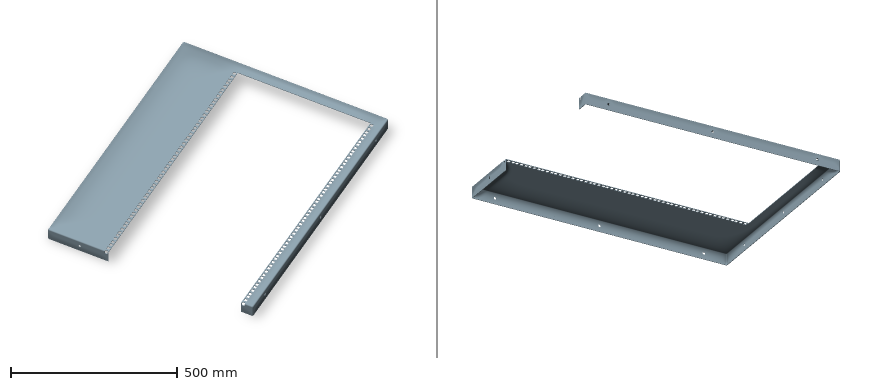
import cadquery as cq

WIDTH = 695.0
DEPTH = 880.0
HEIGHT = 40.0
SHEET = 2.0

TOP_BEND_RADIUS = 3.5
REAR_CORNER_RADIUS = 5.5
FRONT_CORNER_GAP = 2.2

OPENING_WIDTH = 450.0
RIGHT_ARM_WIDTH = 40.0
REAR_BAND_DEPTH = 40.0

WIDE_HOLE_PITCH = 15.875
NARROW_HOLE_PITCH = 12.7
RACK_UNIT = 2 * WIDE_HOLE_PITCH + NARROW_HOLE_PITCH
HOLES_PER_UNIT = 3
RAIL_HOLE_COUNT = 57
RAIL_HOLE_SIZE = 9.5
RAIL_ROW_SPACING = 465.1
FIRST_HOLE_OFFSET = WIDE_HOLE_PITCH / 2
FRONT_NOTCH_DEPTH = 10.0

FIXING_HOLE_DIAMETER = 9.0
FIXING_HOLE_SPACING_X = 240.0
FIXING_HOLE_SPACING_Y = 360.0

LEFT = -WIDTH / 2
RIGHT = WIDTH / 2
FRONT = -DEPTH / 2
REAR = DEPTH / 2
TOP = HEIGHT / 2
BOTTOM = -HEIGHT / 2
OPENING_RIGHT = RIGHT - RIGHT_ARM_WIDTH
OPENING_LEFT = OPENING_RIGHT - OPENING_WIDTH
OPENING_CENTRE = (OPENING_LEFT + OPENING_RIGHT) / 2
OPENING_REAR = REAR - REAR_BAND_DEPTH


def block(x_min, x_max, y_min, y_max, z_min, z_max):
    """Axis-aligned box between the given limits."""
    size = (x_max - x_min, y_max - y_min, z_max - z_min)
    return cq.Workplane("XY").box(*size, centered=False).translate((x_min, y_min, z_min))


def rounded_block(inset):
    """Block with rounded rear corners and top edges, its sides and top set in by the given amount."""
    body = block(LEFT + inset, RIGHT - inset, FRONT + inset, REAR - inset, BOTTOM, TOP - inset)
    body = body.edges("|Z and >Y").fillet(REAR_CORNER_RADIUS - inset)
    return body.faces(">Z").edges().fillet(TOP_BEND_RADIUS - inset)


def folded_tray():
    """Top sheet with walls folded down on all four sides, open underneath."""
    return rounded_block(0).cut(rounded_block(SHEET))


def opening():
    """Space between the two rails, open to the front."""
    return block(OPENING_LEFT, OPENING_RIGHT, FRONT, OPENING_REAR, BOTTOM, TOP)


def front_corner_gaps():
    """Square gaps separating the front wall from the side walls."""
    gap = FRONT_CORNER_GAP
    left_gap = block(LEFT, LEFT + gap, FRONT, FRONT + gap, BOTTOM, TOP)
    return left_gap.union(left_gap.mirror("YZ"))


def rail_holes(x_centre):
    """One row of square holes; the last one runs out over the front bend as a notch."""
    half = RAIL_HOLE_SIZE / 2
    holes = []
    for index in range(RAIL_HOLE_COUNT):
        unit, place = divmod(index, HOLES_PER_UNIT)
        offset = FIRST_HOLE_OFFSET + unit * RACK_UNIT + place * WIDE_HOLE_PITCH
        y_centre = OPENING_REAR - offset
        is_notch = y_centre - half < FRONT
        depth = FRONT_NOTCH_DEPTH if is_notch else SHEET
        hole = block(x_centre - half, x_centre + half, y_centre - half, y_centre + half, TOP - depth, TOP)
        holes.append(hole.val())
    return cq.Workplane(cq.Compound.makeCompound(holes))


def fixing_holes(plane, spacing, length):
    """Three round holes through two opposite walls, one central and one on either side."""
    centres = [(-spacing, 0), (0, 0), (spacing, 0)]
    circles = cq.Workplane(plane).pushPoints(centres).circle(FIXING_HOLE_DIAMETER / 2)
    return circles.extrude(length / 2, both=True)


result = folded_tray()
result = result.cut(opening())
result = result.cut(front_corner_gaps())
result = result.cut(rail_holes(OPENING_CENTRE - RAIL_ROW_SPACING / 2))
result = result.cut(rail_holes(OPENING_CENTRE + RAIL_ROW_SPACING / 2))
result = result.cut(fixing_holes("XZ", FIXING_HOLE_SPACING_X, DEPTH))
result = result.cut(fixing_holes("YZ", FIXING_HOLE_SPACING_Y, WIDTH))